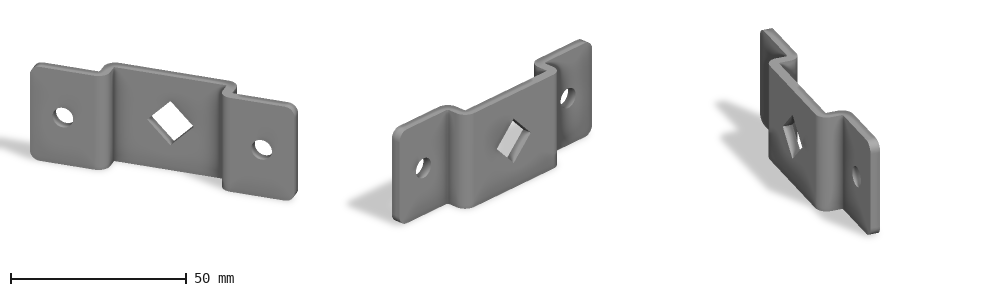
import cadquery as cq

length = 80.0
depth = 10.0
height = 30.0

thickness = depth * 0.3
bridge_length = length / 2
inner_bend_radius = 0.5
outer_bend_radius = inner_bend_radius + thickness
corner_radius = 3.0

hole_diameter = 6.2
hole_spacing = 60.0
square_side = 10.0
square_turn = 45

end_x = length / 2
wall_outer_x = bridge_length / 2
wall_inner_x = wall_outer_x - thickness
front_y = -depth / 2
back_y = depth / 2
flange_back_y = front_y + thickness
bridge_front_y = back_y - thickness


def bent_strip():
    """Hat-shaped sheet section in XY, extruded along Z with rounded bends."""
    right_half = [
        (wall_inner_x, bridge_front_y),
        (wall_inner_x, front_y),
        (end_x, front_y),
        (end_x, flange_back_y),
        (wall_outer_x, flange_back_y),
        (wall_outer_x, back_y),
    ]
    left_half = [(-x, y) for x, y in reversed(right_half)]
    strip = (
        cq.Workplane("XY")
        .polyline(right_half + left_half)
        .close()
        .extrude(height / 2, both=True)
    )
    outer_bends = [(wall_inner_x, front_y), (wall_outer_x, back_y)]
    inner_bends = [(wall_outer_x, flange_back_y)]
    strip = round_bends(strip, outer_bends, outer_bend_radius)
    return round_bends(strip, inner_bends, inner_bend_radius)


def round_bends(body, bends, radius):
    """Fillet the vertical edges at the given XY points and their mirror images."""
    for x, y in bends:
        for side in (-1, 1):
            edge = cq.selectors.NearestToPointSelector((side * x, y, 0))
            body = body.edges(edge).fillet(radius)
    return body


def round_flange_corners(body):
    """Round the two free corners of each flange."""
    return body.faces("<X or >X").edges("|Y").fillet(corner_radius)


def openings():
    """Cutters for the screw holes and the square hole standing on its corner."""
    section = cq.Workplane("XZ")
    holes = (
        section.pushPoints([(-hole_spacing / 2, 0), (hole_spacing / 2, 0)])
        .circle(hole_diameter / 2)
        .extrude(depth, both=True)
    )
    square = (
        section.transformed(rotate=(0, 0, square_turn))
        .rect(square_side, square_side)
        .extrude(depth, both=True)
    )
    return holes.union(square)


result = round_flange_corners(bent_strip()).cut(openings())